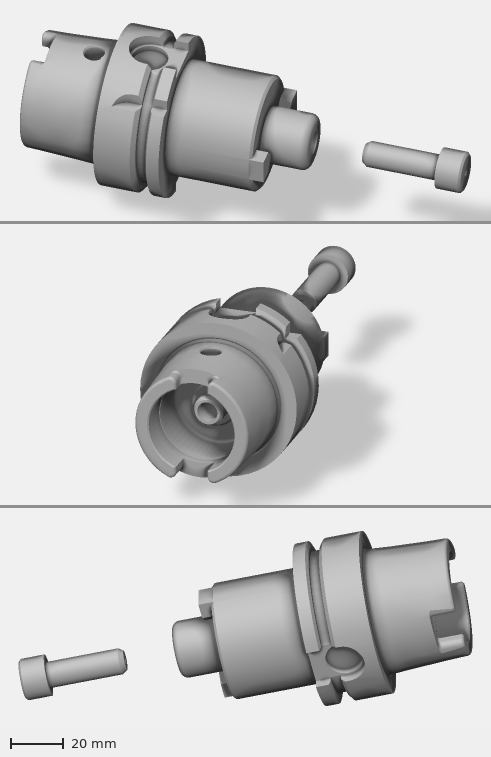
import cadquery as cq
import math


shank_length = 32.0
gauge_diameter = 47.9
gauge_offset = 6.3
taper_ratio = 0.1
rim_fillet = 1.2
undercut_width = 2.0
undercut_radius = 24.0
undercut_lead = 0.7
undercut_blend = 0.9
undercut_depth = 0.3
undercut_face_radius = 25.4

flange_length = 26.0
flange_diameter = 63.0
flange_radius = flange_diameter / 2
groove_radius = 27.5
groove_rim_radius = 29.5
groove_start = 14.5
groove_left_wall = 16.0
groove_right_wall = 20.1
groove_end = 21.0

body_radius = 22.5
body_end = 60.0
body_chamfer = 1.0
neck_diameter = 21.7
neck_end = 61.0
pilot_diameter = 22.0
pilot_start = 62.2
pilot_end = 78.3
pilot_fillet = 2.9

bore_diameter = 34.5
bore_mouth_chamfer = 0.5
deep_bore_diameter = 34.0
bore_step_depth = 12.8
bore_floor_x = -1.7
bore_floor_fillet = 1.4
nut_diameter = 18.0
nut_face_x = -5.1
nut_chamfer = 0.9
tube_diameter = 12.0
tube_end_x = -13.0
tube_nose_length = 1.7
tube_nose_diameter = 10.0
tube_hole_diameter = 8.0
screw_hole_diameter = 8.7

drive_slot_width = 12.6
top_slot_depth = 5.8
bottom_slot_depth = 9.9
slot_round_radius = 2.4
slot_round_top = 20.8
slot_corner_radius = 1.0

access_x = -8.9
access_diameter = 8.0
access_mouth_diameter = 9.2
access_mouth_depth = 1.0

key_slot_width = 16.0
key_slot_floor = 26.5
key_slot_centre_x = 13.1
key_recess_diameter = 14.0
key_recess_depth = 2.5
notch_wall = 20.0
notch_end_radius = 7.5
notch_centre_x = 12.0

key_width = 9.9
key_outer_y = 22.0
key_tip_y = 11.3
key_shoulder_y = 15.7
key_end = 64.8

screw_tip_x = 98.4
screw_head_x = 128.4
screw_end_x = 138.5
screw_diameter = 10.0
screw_tip_diameter = 7.5
screw_tip_length = 1.9
screw_head_diameter = 16.0
screw_head_chamfer = 0.9
screw_hole = 3.0

outside = 2 * flange_radius


def taper_radius(x):
    return gauge_diameter / 2 + (x + gauge_offset) * taper_ratio / 2


def turned(points):
    """Revolve an (x, radius) outline about the X axis."""
    return cq.Workplane("XY").polyline(points).close().revolve(360, (0, 0, 0), (1, 0, 0))


def rod(diameter, start_x, end_x):
    return cq.Workplane("YZ", origin=(start_x, 0, 0)).circle(diameter / 2).extrude(end_x - start_x)


def holder_outside():
    blank = turned([
        (-shank_length, 0),
        (-shank_length, taper_radius(-shank_length)),
        (-undercut_width, taper_radius(-undercut_width)),
        (-undercut_width + undercut_lead, undercut_radius),
        (-undercut_blend, undercut_radius),
        (undercut_depth, undercut_radius + undercut_blend),
        (0, undercut_face_radius),
        (0, flange_radius),
        (groove_start, flange_radius),
        (groove_left_wall, groove_rim_radius),
        (groove_left_wall, groove_radius),
        (groove_right_wall, groove_radius),
        (groove_right_wall, groove_rim_radius),
        (groove_end, flange_radius),
        (flange_length, flange_radius),
        (flange_length, body_radius),
        (body_end - body_chamfer, body_radius),
        (body_end, body_radius - body_chamfer),
        (body_end, neck_diameter / 2),
        (neck_end, neck_diameter / 2),
        (pilot_start, pilot_diameter / 2),
        (pilot_end, pilot_diameter / 2),
        (pilot_end, 0),
    ])
    return blank.faces(">X").edges().fillet(pilot_fillet)


def bore():
    step_x = bore_step_depth - shank_length
    deep = rod(deep_bore_diameter, -shank_length, bore_floor_x)
    deep = deep.faces(">X").edges().fillet(bore_floor_fillet)
    mouth = turned([
        (-shank_length, 0),
        (-shank_length, bore_diameter / 2 + bore_mouth_chamfer),
        (bore_mouth_chamfer - shank_length, bore_diameter / 2),
        (step_x, bore_diameter / 2),
        (step_x, 0),
    ])
    return deep.union(mouth)


def coolant_tube():
    nut = rod(nut_diameter, nut_face_x, bore_floor_x).faces("<X").chamfer(nut_chamfer)
    tube = turned([
        (tube_end_x, 0),
        (tube_end_x, tube_nose_diameter / 2),
        (tube_end_x + tube_nose_length, tube_diameter / 2),
        (bore_floor_x, tube_diameter / 2),
        (bore_floor_x, 0),
    ])
    return nut.union(tube)


def drive_slot(depth):
    """Cutter for a rim slot on +Z whose walls roll outwards at the top."""
    half = drive_slot_width / 2
    round_start = slot_round_top - slot_round_radius
    round_end = half + slot_round_radius
    bend = slot_round_radius * (1 - math.sqrt(0.5))
    profile = (
        cq.Workplane("YZ", origin=(-shank_length, 0, 0))
        .moveTo(-half, 0)
        .lineTo(half, 0)
        .lineTo(half, round_start)
        .threePointArc((half + bend, slot_round_top - bend), (round_end, slot_round_top))
        .lineTo(flange_radius, slot_round_top)
        .lineTo(flange_radius, outside)
        .lineTo(-flange_radius, outside)
        .lineTo(-flange_radius, slot_round_top)
        .lineTo(-round_end, slot_round_top)
        .threePointArc((-half - bend, slot_round_top - bend), (-half, round_start))
        .close()
    )
    cutter = profile.extrude(depth)
    return cutter.faces(">X").edges().fillet(slot_corner_radius)


def access_hole():
    outer_z = taper_radius(access_x)
    mouth = (
        cq.Workplane("XY", origin=(access_x, 0, outer_z - access_mouth_depth))
        .circle(access_diameter / 2)
        .workplane(offset=access_mouth_depth)
        .circle(access_mouth_diameter / 2)
        .loft()
    )
    start_z = (tube_diameter + deep_bore_diameter) / 4
    hole = cq.Workplane("XY", origin=(access_x, 0, start_z)).circle(access_diameter / 2).extrude(outside)
    return hole.union(mouth)


def key_slot():
    """Cutter for the +Z flange slot, open to +X, with its shallow round recess."""
    floor = cq.Workplane("XY", origin=(key_slot_centre_x, 0, key_slot_floor))
    run = flange_length - key_slot_centre_x
    slot = floor.circle(key_slot_width / 2).extrude(outside)
    slot = slot.union(floor.center(run / 2, 0).rect(run, key_slot_width).extrude(outside))
    return slot.union(floor.circle(key_recess_diameter / 2).extrude(-key_recess_depth))


def index_notch():
    """Cutter for the corner notch between -Y and +Z, open to +X and rounded at its -X end."""
    run = flange_length - notch_centre_x
    floor = cq.Workplane("XY", origin=(notch_centre_x, -notch_wall - notch_end_radius, notch_wall))
    notch = floor.circle(notch_end_radius).extrude(outside)
    return notch.union(floor.center(run / 2, 0).rect(run, 2 * notch_end_radius).extrude(outside))


def drive_key():
    """Key on the +Y side, pointed towards the pilot."""
    start_x = body_end - body_chamfer
    half = key_width / 2
    outline = [
        (key_outer_y, -half),
        (key_outer_y, half),
        (key_shoulder_y, half),
        (key_tip_y, 0),
        (key_shoulder_y, -half),
    ]
    return cq.Workplane("YZ", origin=(start_x, 0, 0)).polyline(outline).close().extrude(key_end - start_x)


def make_holder():
    holder = holder_outside()
    for depth, turn in ((top_slot_depth, 0), (bottom_slot_depth, 180)):
        holder = holder.cut(drive_slot(depth).rotate((0, 0, 0), (1, 0, 0), turn))
    holder = holder.faces("<X").edges().fillet(rim_fillet)
    holder = holder.cut(bore())
    holder = holder.cut(access_hole())
    for turn in (0, 180):
        holder = holder.cut(key_slot().rotate((0, 0, 0), (1, 0, 0), turn))
        holder = holder.union(drive_key().rotate((0, 0, 0), (1, 0, 0), turn))
    holder = holder.cut(index_notch())
    holder = holder.union(coolant_tube())
    holder = holder.cut(rod(tube_hole_diameter, tube_end_x, bore_floor_x))
    return holder.cut(rod(screw_hole_diameter, bore_floor_x, pilot_end))


def make_screw():
    shank_radius = screw_diameter / 2
    head_radius = screw_head_diameter / 2
    hole_radius = screw_hole / 2
    return turned([
        (screw_tip_x, hole_radius),
        (screw_tip_x, screw_tip_diameter / 2),
        (screw_tip_x + screw_tip_length, shank_radius),
        (screw_head_x, shank_radius),
        (screw_head_x, head_radius),
        (screw_end_x - screw_head_chamfer, head_radius),
        (screw_end_x, head_radius - screw_head_chamfer),
        (screw_end_x, hole_radius),
    ])


holder = make_holder()
screw = make_screw()

result = cq.Compound.makeCompound([holder.val(), screw.val()])